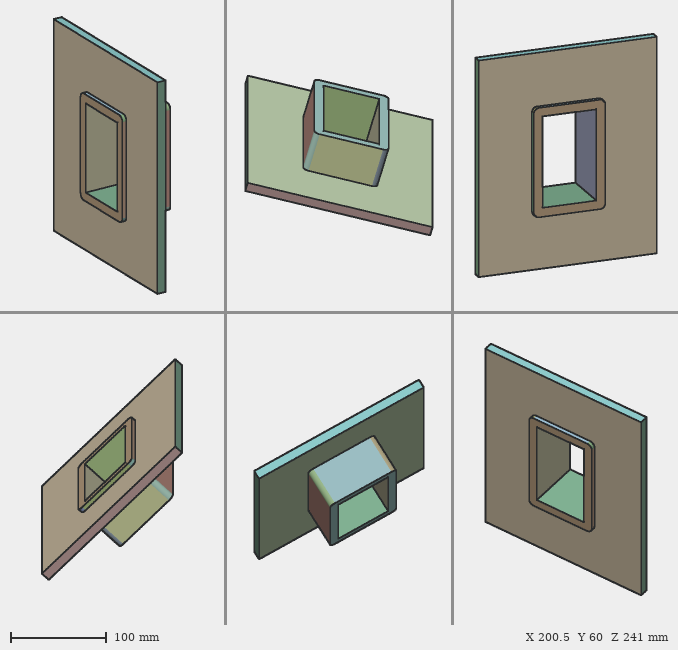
import cadquery as cq

plate_width = 200.5
plate_height = 241.0
plate_thickness = 10.1

opening_width = 60.5
opening_height = 101.5
wall = 10.1
sleeve_length = 60.0
front_projection = 5.0
corner_radius = 6.0

sleeve_width = opening_width + 2 * wall
sleeve_height = opening_height + 2 * wall


def block(width, length, height, front_y):
    """Box centred in X and Z, running towards +Y from front_y."""
    box = cq.Workplane("XY").box(width, length, height, centered=(True, False, True))
    return box.translate((0, front_y, 0))


plate = block(plate_width, plate_thickness, plate_height, 0)
sleeve = block(sleeve_width, sleeve_length, sleeve_height, -front_projection)
sleeve = sleeve.edges("|Y").fillet(corner_radius)
opening = block(opening_width, sleeve_length, opening_height, -front_projection)

result = plate.union(sleeve).cut(opening)